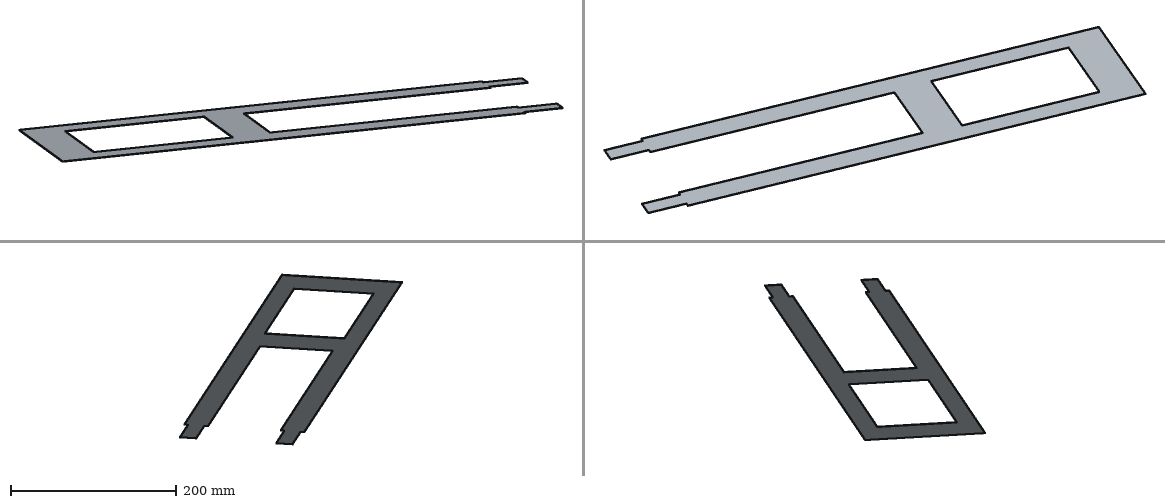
import cadquery as cq

length = 650.0
width = 148.0
thickness = 1.0

tip_length = 50.0
tip_width = 20.0
slot_width = 90.0
slot_depth = 370.0

base_bar = 50.0
window_width = 98.0
window_length = 180.0

shoulder_y = length / 2 - tip_length
slot_floor_y = length / 2 - slot_depth
body_length = length - tip_length


def block(x_size, y_size, x_center, y_start):
    """Full-thickness block that runs in +Y from y_start."""
    return cq.Workplane("XY").box(x_size, y_size, thickness).translate(
        (x_center, y_start + y_size / 2, 0)
    )


body = block(width, body_length, 0, -length / 2)
slot = block(slot_width, shoulder_y - slot_floor_y, 0, slot_floor_y)
window = block(window_width, window_length, 0, -length / 2 + base_bar)
result = body.cut(slot).cut(window)

tip_center_x = (width + slot_width) / 4
for side in (-1, 1):
    result = result.union(block(tip_width, tip_length, side * tip_center_x, shoulder_y))